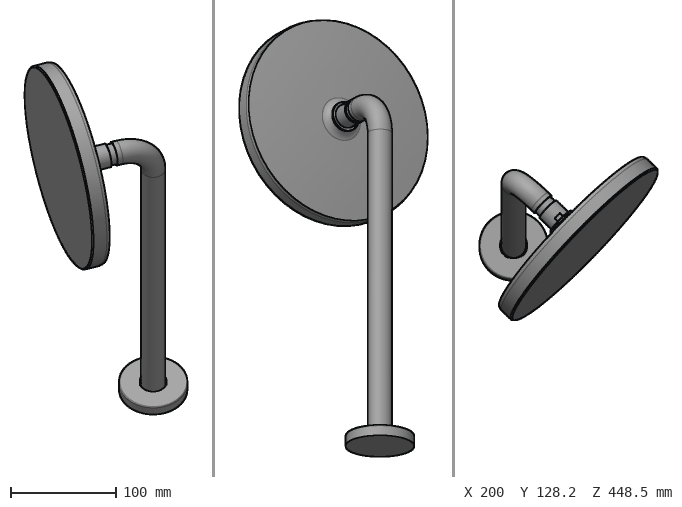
import cadquery as cq

base_radius = 32.7
base_height = 10.8
base_edge_fillet = 1.0

groove_radius = 13.0
groove_depth = 4.5

tube_radius = 11.5
bend_radius = 34.5
tube_end = 39.5

overall_height = 448.5
head_radius = 100.0
head_center_z = overall_height - head_radius
head_front = 95.5
head_front_chamfer = 1.5
rim_start = 81.0
rim_back = 77.5
rim_back_radius = 99.0
dome_top = 72.0
dome_mid_radius = 60.5
dome_mid = 74.0

neck_radius = 10.5
collar_start = 45.7
collar_radius = 11.5
ring_start = 63.0
ring_end = 65.0
ring_radius = 14.5
flare_start_radius = 13.5
flare_end_radius = 21.0
flare_mid = 69.5
flare_mid_radius = 16.0

key_width = 7.0
key_length = 4.5
key_height = 1.0


def make_base():
    plate = cq.Workplane("XY").circle(base_radius).extrude(base_height)
    plate = plate.faces(">Z").edges().fillet(base_edge_fillet)
    return plate.faces(">Z").workplane().circle(groove_radius).cutBlind(-groove_depth)


def make_tube():
    bend_start_z = head_center_z - bend_radius
    path = (
        cq.Workplane("YZ")
        .moveTo(0, 0)
        .lineTo(0, bend_start_z)
        .radiusArc((-bend_radius, head_center_z), -bend_radius)
        .lineTo(-tube_end, head_center_z)
    )
    return cq.Workplane("XY").circle(tube_radius).sweep(path)


def make_head_and_connector():
    """Half profile of radius against distance, revolved about the horizontal axis."""
    profile = (
        cq.Workplane("XY")
        .moveTo(0, bend_radius)
        .lineTo(neck_radius, bend_radius)
        .lineTo(neck_radius, collar_start)
        .lineTo(collar_radius, collar_start)
        .lineTo(collar_radius, ring_start)
        .lineTo(ring_radius, ring_start)
        .lineTo(ring_radius, ring_end)
        .lineTo(flare_start_radius, ring_end)
        .threePointArc((flare_mid_radius, flare_mid), (flare_end_radius, dome_top))
        .threePointArc((dome_mid_radius, dome_mid), (rim_back_radius, rim_back))
        .lineTo(head_radius, rim_start)
        .lineTo(head_radius, head_front - head_front_chamfer)
        .lineTo(head_radius - head_front_chamfer, head_front)
        .lineTo(0, head_front)
        .close()
    )
    solid = profile.revolve(360, (0, 0, 0), (0, 1, 0))
    return solid.rotate((0, 0, 0), (0, 0, 1), 180).translate((0, 0, head_center_z))


def make_key():
    height = collar_radius + key_height
    return (
        cq.Workplane("XY")
        .box(key_width, key_length, height, centered=(True, False, False))
        .translate((0, -ring_start, head_center_z))
    )


result = make_base().union(make_tube()).union(make_head_and_connector()).union(make_key())